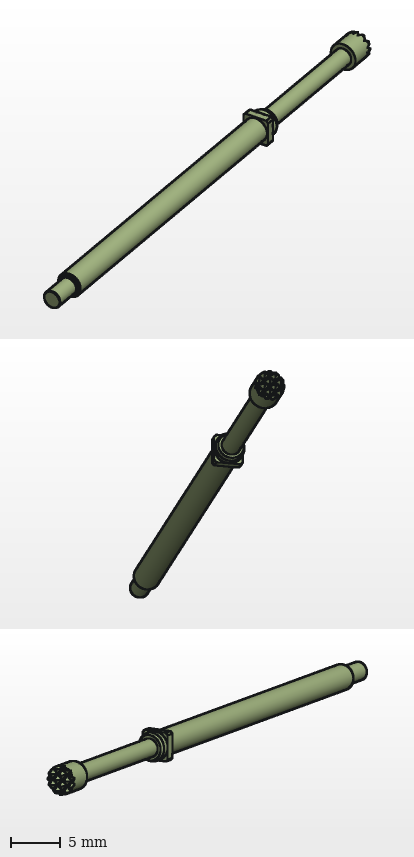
import cadquery as cq
import math

total_length = 57.3

tail_diameter = 1.95
tail_length = 3.05
tail_chamfer = 0.05

barrel_diameter = 2.7
barrel_taper_length = 0.25
barrel_taper_depth = 0.1
barrel_end = 38.0

collar_side = 3.0
collar_thickness = 0.9
collar_corner_chamfer = 0.25
shoulder_length = 1.1
shoulder_taper_length = 0.4
shoulder_taper_depth = 0.2

rod_diameter = 1.95
head_diameter = 3.0
head_length = 3.05

tooth_pitch = 0.8
tooth_angle = 60.0
groove_angles = (45, -45)

collar_end = barrel_end + collar_thickness
shoulder_end = collar_end + shoulder_length
head_start = total_length - head_length
tooth_depth = tooth_pitch / 2 / math.tan(math.radians(tooth_angle / 2))


def rod_between(start, end, diameter):
    """Round bar along Y from start to end."""
    plane = cq.Plane(origin=(0, start, 0), xDir=(1, 0, 0), normal=(0, 1, 0))
    return cq.Workplane(plane).circle(diameter / 2).extrude(end - start)


def make_tail():
    tail = rod_between(0, tail_length, tail_diameter)
    return tail.faces("<Y").chamfer(tail_chamfer)


def make_barrel():
    barrel = rod_between(tail_length, barrel_end, barrel_diameter)
    return barrel.faces("<Y").chamfer(barrel_taper_length, barrel_taper_depth)


def make_collar():
    collar = cq.Workplane("XY").box(collar_side, collar_thickness, collar_side)
    collar = collar.edges("|Y").chamfer(collar_corner_chamfer)
    return collar.translate((0, barrel_end + collar_thickness / 2, 0))


def make_shoulder():
    shoulder = rod_between(collar_end, shoulder_end, collar_side)
    return shoulder.faces(">Y").chamfer(shoulder_taper_length, shoulder_taper_depth)


def make_groove(offset):
    """V groove along Z across the whole crown, with its root at x = offset."""
    return (
        cq.Workplane("XY")
        .moveTo(offset - tooth_pitch / 2, total_length)
        .lineTo(offset, total_length - tooth_depth)
        .lineTo(offset + tooth_pitch / 2, total_length)
        .close()
        .extrude(head_diameter, both=True)
    )


def make_head():
    head = rod_between(head_start, total_length, head_diameter)
    grooves_per_side = math.ceil(head_diameter / 2 / tooth_pitch)
    for index in range(-grooves_per_side, grooves_per_side + 1):
        groove = make_groove(index * tooth_pitch)
        for angle in groove_angles:
            head = head.cut(groove.rotate((0, 0, 0), (0, 1, 0), angle))
    return head


result = (
    make_tail()
    .union(make_barrel())
    .union(make_collar())
    .union(make_shoulder())
    .union(rod_between(shoulder_end, head_start, rod_diameter))
    .union(make_head())
)